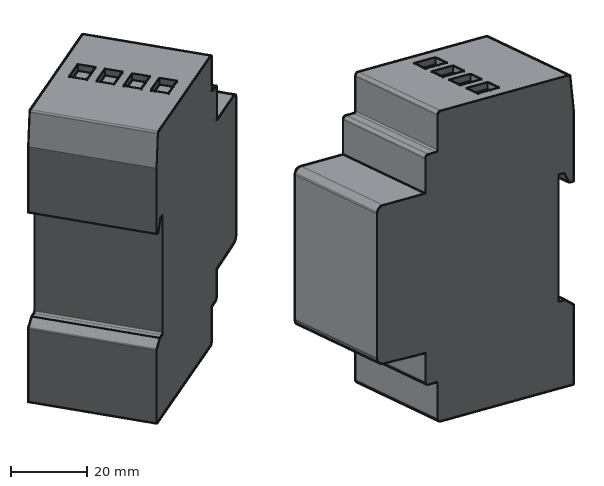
import cadquery as cq

WIDTH = 35.6
DEPTH = 65.0
HEIGHT = 87.5

TERMINAL_Y = 45.0
STEP_Y = 49.05
STEP_INSET = 11.3
STEP_BOTTOM_Z = STEP_INSET
STEP_TOP_Z = HEIGHT - STEP_INSET
PANEL_TOP_Z = 65.4
PANEL_BOTTOM_Z = 20.8
PANEL_ROOT_Z = 20.4

CHANNEL_DEPTH = 5.0
CHANNEL_TOP_Z = 60.3
CHANNEL_BOTTOM_Z = 24.5
HOOK_TIP_Z = 57.2
HOOK_TIP_THICKNESS = 1.5
HOOK_ROOT_Y = 3.2
RAMP_FOOT_Z = 22.5
RAMP_TOP_Y = 2.8

SLOPE_INSET = 1.2
SLOPE_START_Z = 77.2

PANEL_RADIUS = 2.0
STEP_RADIUS = 1.0
EDGE_RADIUS = 0.5
RAIL_EDGE_RADIUS = 0.4

SLOT_COUNT = 4
SLOT_PITCH = 7.54
SLOT_WIDTH = 4.9
SLOT_LENGTH = 7.0
SLOT_CENTER_Y = 25.1
SLOT_DEPTH = 2.0


def make_housing():
    """Side outline in the YZ plane, extruded across the width."""
    outline = [
        (0, 0),
        (TERMINAL_Y, 0),
        (TERMINAL_Y, STEP_BOTTOM_Z),
        (STEP_Y, STEP_BOTTOM_Z),
        (STEP_Y, PANEL_ROOT_Z),
        (DEPTH, PANEL_BOTTOM_Z),
        (DEPTH, PANEL_TOP_Z),
        (STEP_Y, PANEL_TOP_Z),
        (STEP_Y, STEP_TOP_Z),
        (TERMINAL_Y, STEP_TOP_Z),
        (TERMINAL_Y, HEIGHT),
        (SLOPE_INSET, HEIGHT),
        (0, SLOPE_START_Z),
        (0, HOOK_TIP_Z),
        (HOOK_TIP_THICKNESS, HOOK_TIP_Z),
        (HOOK_ROOT_Y, CHANNEL_TOP_Z),
        (CHANNEL_DEPTH, CHANNEL_TOP_Z),
        (CHANNEL_DEPTH, CHANNEL_BOTTOM_Z),
        (RAMP_TOP_Y, CHANNEL_BOTTOM_Z),
        (0, RAMP_FOOT_Z),
    ]
    return cq.Workplane("YZ").polyline(outline).close().extrude(WIDTH / 2, both=True)


def round_edges(body, radius, corners):
    """Round the widthwise edges that pass through the given (y, z) corners."""
    for y, z in corners:
        body = body.edges(cq.selectors.NearestToPointSelector((0, y, z))).fillet(radius)
    return body


def make_slots():
    """Cutters for the terminal openings, one row centred across the width."""
    return (
        cq.Workplane("XY", origin=(0, SLOT_CENTER_Y, HEIGHT))
        .rarray(SLOT_PITCH, 1, SLOT_COUNT, 1)
        .rect(SLOT_WIDTH, SLOT_LENGTH)
        .extrude(-SLOT_DEPTH)
    )


PANEL_CORNERS = [(DEPTH, PANEL_BOTTOM_Z), (DEPTH, PANEL_TOP_Z)]
STEP_CORNERS = [
    (TERMINAL_Y, 0),
    (STEP_Y, STEP_BOTTOM_Z),
    (STEP_Y, STEP_TOP_Z),
    (TERMINAL_Y, HEIGHT),
]
SMALL_CORNERS = [
    (SLOPE_INSET, HEIGHT),
    (TERMINAL_Y, STEP_BOTTOM_Z),
    (TERMINAL_Y, STEP_TOP_Z),
    (CHANNEL_DEPTH, CHANNEL_BOTTOM_Z),
]
RAIL_CORNERS = [
    (0, HOOK_TIP_Z),
    (0, RAMP_FOOT_Z),
    (0, 0),
]

housing = make_housing()
housing = round_edges(housing, PANEL_RADIUS, PANEL_CORNERS)
housing = round_edges(housing, STEP_RADIUS, STEP_CORNERS)
housing = round_edges(housing, EDGE_RADIUS, SMALL_CORNERS)
housing = round_edges(housing, RAIL_EDGE_RADIUS, RAIL_CORNERS)

result = housing.cut(make_slots())